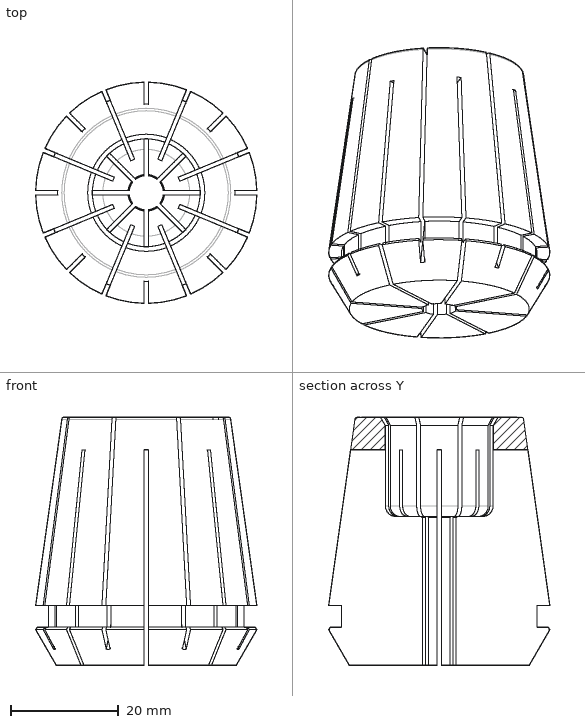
import cadquery as cq
import math

height = 46.0
max_radius = 20.5
taper_angle = 8.0
nose_angle = 30.0
edge_round = 0.45

groove_bottom = 7.1
groove_top = 11.1
groove_radius = 18.12
collar_chamfer_width = 0.3
collar_chamfer_height = 0.45

bore_radius = 10.0
bore_floor = 27.6
bore_floor_round = 1.95
bore_mouth_radius = 10.85
bore_mouth_depth = 1.5
hole_radius = 3.17
hole_chamfer = 0.25

slots_per_set = 8
slot_width = 0.8
lower_slot_top = 39.95
upper_slot_outer_bottom = 3.0
upper_slot_inner_radius = 6.6

slot_pitch = 360.0 / slots_per_set
slot_clearance = 0.45
slot_reach = max_radius + slot_clearance


def rise_to_run(angle):
    return math.tan(math.radians(angle))


def body():
    """Solid of revolution: nose cone, collar, groove and main taper."""
    collar_edge = groove_bottom - collar_chamfer_height
    nose_radius = max_radius - collar_edge * rise_to_run(nose_angle)
    top_radius = max_radius - (height - groove_top) * rise_to_run(taper_angle)
    profile = (
        cq.Workplane("XZ")
        .lineTo(nose_radius, 0)
        .lineTo(max_radius, collar_edge)
        .lineTo(max_radius - collar_chamfer_width, groove_bottom)
        .lineTo(groove_radius, groove_bottom)
        .lineTo(groove_radius, groove_top)
        .lineTo(max_radius, groove_top)
        .lineTo(top_radius, height)
        .lineTo(0, height)
        .close()
    )
    return profile.revolve(360, (0, 0, 0), (0, 1, 0)).faces(">Z").edges().fillet(edge_round)


def bore():
    """Wide bore with rounded floor and chamfered mouth, plus the chamfered through hole."""
    wide = cq.Workplane("XY").workplane(offset=bore_floor)
    wide = wide.circle(bore_radius).extrude(height - bore_floor)
    wide = wide.faces("<Z").edges().fillet(bore_floor_round)
    mouth = (
        cq.Workplane("XY")
        .workplane(offset=height)
        .circle(bore_mouth_radius)
        .workplane(offset=-bore_mouth_depth)
        .circle(bore_radius)
        .loft()
    )
    hole = cq.Workplane("XY").circle(hole_radius).extrude(bore_floor)
    hole_mouth = (
        cq.Workplane("XY")
        .workplane(offset=bore_floor)
        .circle(hole_radius + hole_chamfer)
        .workplane(offset=-hole_chamfer)
        .circle(hole_radius)
        .loft()
    )
    return wide.union(mouth).union(hole).union(hole_mouth)


def radial_slot(outline):
    """Plate of slot width, centred on the XZ plane, from a closed (radius, height) outline."""
    return cq.Workplane("XZ").polyline(outline).close().extrude(slot_width / 2, both=True)


def lower_slot():
    """Slot open at the nose, closed below the top face."""
    return radial_slot([(0, 0), (slot_reach, 0), (slot_reach, lower_slot_top), (0, lower_slot_top)])


def upper_slot():
    """Slot open at the top face, with a floor that slopes down from the bore to the nose cone."""
    drop_from_collar = groove_bottom - collar_chamfer_height - upper_slot_outer_bottom
    outer_radius = max_radius - drop_from_collar * rise_to_run(nose_angle)
    slope = (bore_floor - upper_slot_outer_bottom) / (outer_radius - upper_slot_inner_radius)
    reach_bottom = upper_slot_outer_bottom - slope * (slot_reach - outer_radius)
    return radial_slot([
        (upper_slot_inner_radius, bore_floor),
        (slot_reach, reach_bottom),
        (slot_reach, height),
        (upper_slot_inner_radius, height),
    ])


result = body().cut(bore())
for index in range(slots_per_set):
    angle = index * slot_pitch
    result = result.cut(lower_slot().rotate((0, 0, 0), (0, 0, 1), angle))
    result = result.cut(upper_slot().rotate((0, 0, 0), (0, 0, 1), angle + slot_pitch / 2))